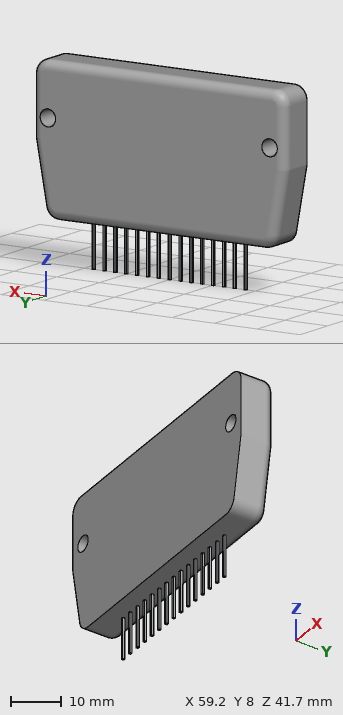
import cadquery as cq

body_width = 59.2
body_thickness = 8.0
overall_height = 41.7
pin_length = 9.65
body_height = overall_height - pin_length

straight_side_height = 15.9
taper_inset = 2.9
corner_radius = 3.0
side_bend_radius = 2.0
back_edge_radius = 2.0

hole_diameter = 3.6
hole_spacing = 52.0
hole_drop = 11.5

pin_count = 15
pin_pitch = 2.55
pin_size = 0.505
pin_embed = 1.2

half_width = body_width / 2
half_bottom = half_width - taper_inset
bend_height = body_height - straight_side_height


def make_body():
    """Plate with tapered lower sides and a rounded back edge."""
    outline = [
        (-half_bottom, 0),
        (half_bottom, 0),
        (half_width, bend_height),
        (half_width, body_height),
        (-half_width, body_height),
        (-half_width, bend_height),
    ]
    plate = cq.Workplane("XZ").polyline(outline).close().extrude(-body_thickness)

    plate = plate.edges("|Y exc (<Z or >Z)").fillet(side_bend_radius)
    plate = plate.edges("|Y and (<Z or >Z)").fillet(corner_radius)
    return plate.faces(">Y").edges().fillet(back_edge_radius)


def make_holes():
    """Cylinders for the two through holes."""
    hole_height = body_height - hole_drop
    return (
        cq.Workplane("XZ")
        .pushPoints([(-hole_spacing / 2, hole_height), (hole_spacing / 2, hole_height)])
        .circle(hole_diameter / 2)
        .extrude(-body_thickness)
    )


def make_pins():
    """Row of pins below the body, centred in its thickness."""
    return (
        cq.Workplane("XY", origin=(0, body_thickness / 2, -pin_length))
        .rarray(pin_pitch, 0.6, pin_count, 1)
        .rect(pin_size, pin_size)
        .extrude(pin_length + pin_embed)
    )


result = make_body().cut(make_holes()).union(make_pins())